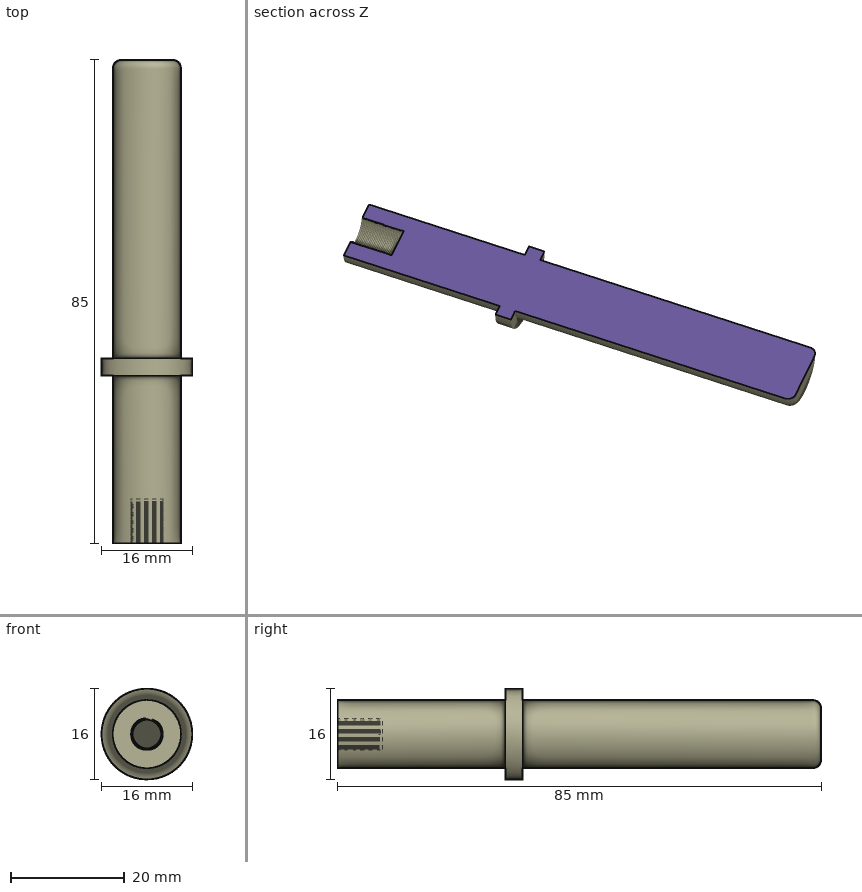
import cadquery as cq

length = 85.0
shank_diameter = 12.0
collar_diameter = 16.0
collar_start = 29.5
collar_width = 3.0
end_fillet = 1.5

thread_major_diameter = 5.6
thread_minor_diameter = 5.03
thread_pitch = 0.3
thread_turns = 25
thread_length = thread_pitch * thread_turns
hole_depth = thread_length + thread_pitch

crest_width = 0.07
root_width = 0.26
root_overlap = 0.1

major_radius = thread_major_diameter / 2
minor_radius = thread_minor_diameter / 2


def cylinder(diameter, start, height):
    """Cylinder along Z that begins at the given distance from the threaded end face."""
    return cq.Workplane("XY").workplane(offset=start).circle(diameter / 2).extrude(height)


def make_shank():
    """Plain shank with its far end rounded over."""
    return cylinder(shank_diameter, 0, length).faces(">Z").edges().fillet(end_fillet)


def make_thread_ridge():
    """Helical ridge that starts half a pitch outside the end face and is trimmed flush with it."""
    root_radius = major_radius + root_overlap
    helix = cq.Wire.makeHelix(thread_pitch, thread_length, major_radius)
    profile = cq.Workplane("XZ").polyline([
        (root_radius, -root_width / 2),
        (minor_radius, -crest_width / 2),
        (minor_radius, crest_width / 2),
        (root_radius, root_width / 2),
    ]).close()
    ridge = profile.sweep(cq.Workplane(obj=helix), isFrenet=True)
    ridge = ridge.translate((0, 0, -thread_pitch / 2))
    return ridge.intersect(cylinder(shank_diameter, 0, hole_depth))


def make_pin():
    """Complete pin, standing along Z with its threaded end face at Z = 0."""
    pin = make_shank().union(cylinder(collar_diameter, collar_start, collar_width))
    pin = pin.cut(cylinder(thread_major_diameter, 0, hole_depth))
    return pin.union(make_thread_ridge())


result = make_pin().rotate((0, 0, 0), (1, 0, 0), -90).translate((0, -length / 2, 0))